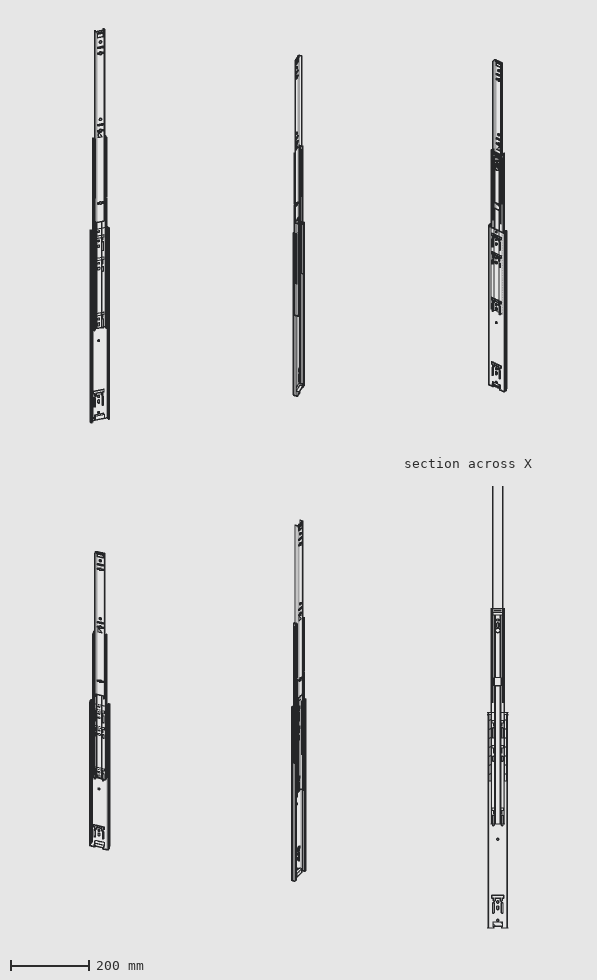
import cadquery as cq

EPS = 1.0

total_length = 1125.0
rail_length = 550.0
middle_top = 815.0
middle_bottom = middle_top - rail_length
inner_bottom = total_length - rail_length
pattern_pitch = 223.0

slide_depth = 12.9
overall_half_width = 51.89 / 2
outer_race_bulge = 0.65
outer_half_width = overall_half_width - outer_race_bulge
outer_thickness = 1.8
outer_corner_radius = 2.8
outer_race = (4.5, 10.5)
outer_lip = 2.0

middle_web_x = 2.0
middle_half_width = 17.5
middle_thickness = 1.5
middle_corner_radius = 1.0
middle_race = (6.0, 9.5)
middle_race_bulge = -0.5

inner_half_width = 13.0
inner_thickness = 1.5
inner_corner_radius = 3.4
inner_depth = 9.3


def box(x_range, y_range, z_range):
    """Axis-aligned block from its lower and upper limits."""
    (x0, x1), (y0, y1), (z0, z1) = x_range, y_range, z_range
    return cq.Workplane("XY").box(x1 - x0, y1 - y0, z1 - z0, centered=False).translate((x0, y0, z0))


def across(half_width):
    """Y limits of a feature centred on the mid-plane."""
    return (-half_width, half_width)


def side_range(side, near, far):
    """Y limits of a strip between two distances from the mid-plane, on the side -1 or +1."""
    return tuple(sorted((side * near, side * far)))


def web_hole(x_range, y, z, width, height):
    """Cutter along X: round when width equals height, otherwise a round-ended slot."""
    x0, x1 = x_range
    plane = cq.Workplane("YZ", origin=(x0, y, z))
    if width == height:
        outline = plane.circle(width / 2)
    elif width > height:
        outline = plane.slot2D(width, height, 0)
    else:
        outline = plane.slot2D(height, width, 90)
    return outline.extrude(x1 - x0)


def channel(half_width, depth, thickness, radius, length, race=None, bulge=0.0):
    """C channel along Z with its web at X = 0 and its flanges pointing to +X."""
    smallest_inner_radius = 0.3
    inner_radius = max(radius - thickness, smallest_inner_radius)
    inside = half_width - thickness
    arc_middle = 1 - 0.5 ** 0.5
    profile = (
        cq.Workplane("XY")
        .lineTo(0, half_width - radius)
        .threePointArc((radius * arc_middle, half_width - radius * arc_middle), (radius, half_width))
    )
    if race:
        start, end = race
        race_middle = (start + end) / 2
        profile = profile.lineTo(start, half_width)
        profile = profile.threePointArc((race_middle, half_width + bulge), (end, half_width))
    profile = profile.lineTo(depth, half_width).lineTo(depth, inside)
    if race:
        profile = profile.lineTo(end, inside)
        profile = profile.threePointArc((race_middle, inside + bulge), (start, inside))
    inner_arc_middle = (thickness + inner_radius * arc_middle, inside - inner_radius * arc_middle)
    profile = (
        profile.lineTo(thickness + inner_radius, inside)
        .threePointArc(inner_arc_middle, (thickness, inside - inner_radius))
        .lineTo(thickness, 0)
        .close()
    )
    half = profile.extrude(length)
    return half.union(half.mirror("XZ")).clean()


outer_web = (-EPS, outer_thickness + EPS)
outer_inside = outer_half_width - outer_thickness
fixing_hole = 5.0
fixing_hole_heights = (542.0, 227.0, 20.5)

mount_top_z = 526.4
second_mount_drop = 64.0
mount_slot_half_width = 15.0
mount_slot_half_height = 3.5
mount_leg_y = 9.0
mount_leg_width = 4.4
mount_slit_y = 11.2
mount_slit_width = 3.6

long_mount = (11.6, 15.0, 42.0)
short_mount = (16.5, 23.5, 37.5)

top_holes = [(11.3, 5.0, 5.0), (26.5, 5.0, 7.0)]
short_holes = [(11.5, 5.0, 5.0), (27.0, 7.5, 7.5)]
long_holes = [(13.5, 5.0, 6.5), (28.5, 5.0, 9.5)]

mounts = [
    (mount_top_z, long_mount, top_holes),
    (mount_top_z - second_mount_drop, short_mount, short_holes),
    (mount_top_z - pattern_pitch, long_mount, long_holes),
    (mount_top_z - 2 * pattern_pitch, long_mount, long_holes),
]

race_hole = 5.4
race_hole_x = 8.1
race_hole_z = 544.0

notch_half_width = 10.0
key_half_width = 12.5
key_z = (4.5, 8.5)
relief_y = 8.5
relief_z = 10.5
relief_diameter = 3.0
tip_relief_x = 10.5
tip_relief_height = 3.5


def mounting_cutter(z, depths, centre_holes):
    """Cutter for one hook-in mounting pattern with its slot centred at height z."""
    leg_end, slit_top, slit_bottom = depths
    leg_z = z - leg_end / 2
    slit_z = z - (slit_top + slit_bottom) / 2
    slit_height = slit_bottom - slit_top
    slot_z = (z - mount_slot_half_height, z + mount_slot_half_height)
    cutter = box(outer_web, across(mount_slot_half_width), slot_z)
    for side in (-1, 1):
        cutter = cutter.union(web_hole(outer_web, side * mount_leg_y, leg_z, mount_leg_width, leg_end))
        cutter = cutter.union(web_hole(outer_web, side * mount_slit_y, slit_z, mount_slit_width, slit_height))
    for drop, width, height in centre_holes:
        cutter = cutter.union(web_hole(outer_web, 0, z - drop, width, height))
    return cutter


def add_outer_lips(rail):
    lip_x = (slide_depth - outer_thickness, slide_depth)
    for side in (-1, 1):
        lip_y = side_range(side, outer_inside - outer_lip, outer_inside + outer_thickness / 2)
        rail = rail.union(box(lip_x, lip_y, (0, rail_length)))
    return rail


def cut_lower_end(rail):
    rail = rail.cut(box(outer_web, across(notch_half_width), (-EPS, key_z[1])))
    rail = rail.cut(box(outer_web, across(key_half_width), key_z))
    for side in (-1, 1):
        rail = rail.cut(web_hole(outer_web, side * relief_y, relief_z, relief_diameter, relief_diameter))
    tip_x = (tip_relief_x, slide_depth + EPS)
    return rail.cut(box(tip_x, across(overall_half_width), (-EPS, tip_relief_height)))


def make_outer_rail():
    rail = channel(outer_half_width, slide_depth, outer_thickness, outer_corner_radius,
                   rail_length, outer_race, outer_race_bulge)
    rail = add_outer_lips(rail)
    for z, depths, centre_holes in mounts:
        rail = rail.cut(mounting_cutter(z, depths, centre_holes))
    for z in fixing_hole_heights:
        rail = rail.cut(web_hole(outer_web, 0, z, fixing_hole, fixing_hole))
    race_drill = (
        cq.Workplane("XZ", origin=(race_hole_x, 0, race_hole_z))
        .circle(race_hole / 2)
        .extrude(overall_half_width + EPS, both=True)
    )
    return cut_lower_end(rail.cut(race_drill))


rib_base = 8.0
rib_crest = 6.3
rib_height = 1.2
rib_top = 798.0
web_top = 804.0
end_step = 0.3
middle_inside = middle_half_width - middle_thickness
middle_web = (middle_web_x - EPS, middle_web_x + middle_thickness + rib_height + EPS)
window_half_width = 8.5
window_z = (618.0, 638.5)
middle_holes = [(785.5, 5.0, 5.0), (772.0, 5.0, 12.0), (759.0, 11.0, 11.0)]
flange_notch_x = 7.5
flange_notch_z = (639.5, 644.5)


def rib_prism(base_x):
    """Trapezoid prism of the lengthwise rib, standing on base_x."""
    outline = [(0, -rib_base), (rib_height, -rib_crest), (rib_height, rib_crest), (0, rib_base)]
    plane = cq.Workplane("XY", origin=(base_x, 0, middle_bottom))
    return plane.polyline(outline).close().extrude(rib_top - middle_bottom)


def make_middle_rail():
    rail = channel(middle_half_width, slide_depth - middle_web_x, middle_thickness,
                   middle_corner_radius, rail_length, middle_race, middle_race_bulge)
    rail = rail.translate((middle_web_x, 0, middle_bottom))
    rail = rail.union(rib_prism(middle_web_x + middle_thickness))
    rail = rail.cut(rib_prism(middle_web_x))
    rail = rail.cut(box(middle_web, across(middle_inside), (web_top, middle_top + EPS)))
    step_x = (middle_web_x - EPS, middle_web_x + end_step)
    rail = rail.cut(box(step_x, across(middle_inside), (rib_top, web_top)))
    rail = rail.cut(box(middle_web, across(window_half_width), window_z))
    for z, width, height in middle_holes:
        rail = rail.cut(web_hole(middle_web, 0, z, width, height))
    notch_x = (flange_notch_x, slide_depth + EPS)
    return rail.cut(box(notch_x, across(middle_half_width + EPS), flange_notch_z))


inner_web_x = slide_depth - inner_thickness
inner_web = (inner_web_x - EPS, slide_depth + EPS)
end_window_half_width = 8.0
end_window_z = (1107.0, 1117.0)
end_lip_z = 1120.0
end_lip_depth = 1.0
screw_hole = 6.5
screw_hole_z = 1093.0
slot_drop = 15.5
cross_drop = 32.5
lowest_cross_z = 629.2
cross_slot = (16.0, 4.0)
cross_upright = (4.5, 9.0)


def make_inner_rail():
    rail = channel(inner_half_width, inner_depth, inner_thickness, inner_corner_radius, rail_length)
    rail = rail.rotate((0, 0, 0), (0, 0, 1), 180).translate((slide_depth, 0, inner_bottom))
    lip_x = (inner_web_x - end_lip_depth, inner_web_x + inner_thickness / 2)
    lip_half_width = inner_half_width - inner_corner_radius
    rail = rail.union(box(lip_x, across(lip_half_width), (end_lip_z, total_length)))
    rail = rail.cut(box(inner_web, across(end_window_half_width), end_window_z))
    screw_heights = [screw_hole_z, screw_hole_z - pattern_pitch]
    for z in screw_heights:
        rail = rail.cut(web_hole(inner_web, 0, z, screw_hole, screw_hole))
        rail = rail.cut(web_hole(inner_web, 0, z - slot_drop, *cross_slot))
    cross_heights = [z - cross_drop for z in screw_heights] + [lowest_cross_z]
    for z in cross_heights:
        rail = rail.cut(web_hole(inner_web, 0, z, *cross_slot))
        rail = rail.cut(web_hole(inner_web, 0, z, *cross_upright))
    return rail


bumper_front_x = 9.0
bumper_top = 16.0
lever_depth = 1.5
lever_z = (818.5, 835.0)
lever_point_y = 5.0
lever_edge_y = -5.5


def make_bumper():
    """Stop block behind the outer web, with a key that fills the undercut of the web."""
    block = box((outer_thickness, bumper_front_x), across(key_half_width), (key_z[0], bumper_top))
    key = box((0, outer_thickness), across(key_half_width), key_z)
    return block.union(key)


def make_lever():
    """Triangular release lever lying on the inside of the inner rail web."""
    bottom, top = lever_z
    return (
        cq.Workplane("YZ", origin=(inner_web_x - lever_depth, 0, 0))
        .polyline([(lever_point_y, bottom), (lever_edge_y, bottom), (lever_edge_y, top)])
        .close()
        .extrude(lever_depth)
    )


cage_clearance = 0.2
cage_length = 170.0
outer_cage_x = (5.0, 9.0)
outer_cage_top = 545.0
inner_cage_x = (3.7, 10.0)
bridge_x = (2.2, 3.4)
recess_depth = 0.6
recess_half_width = 8.5
recess_z = (808.0, 811.5)


def make_outer_cage(side):
    """Strip between the flanges of the outer and middle rails."""
    near = middle_half_width + cage_clearance
    far = outer_inside - cage_clearance
    return box(outer_cage_x, side_range(side, near, far), (outer_cage_top - cage_length, outer_cage_top))


def make_inner_cage():
    """Two strips between the middle and inner flanges, joined by a bridge at the open end."""
    near = inner_half_width + cage_clearance
    far = middle_inside + middle_race_bulge - cage_clearance
    bridge_z = (web_top, middle_top)
    cage = box(bridge_x, across(far), bridge_z)
    recess_x = (bridge_x[0], bridge_x[0] + recess_depth)
    cage = cage.cut(box(recess_x, across(recess_half_width), recess_z))
    for side in (-1, 1):
        strip_y = side_range(side, near, far)
        cage = cage.union(box((bridge_x[0], inner_cage_x[1]), strip_y, bridge_z))
        cage = cage.union(box(inner_cage_x, strip_y, (middle_top - cage_length, middle_top)))
    return cage


outer_rail = make_outer_rail()
middle_rail = make_middle_rail()
inner_rail = make_inner_rail()
bumper = make_bumper()
lever = make_lever()
inner_cage = make_inner_cage()
outer_cages = [make_outer_cage(side) for side in (-1, 1)]

result = cq.Compound.makeCompound([
    outer_rail.val(),
    middle_rail.val(),
    inner_rail.val(),
    bumper.val(),
    lever.val(),
    inner_cage.val(),
    *[cage.val() for cage in outer_cages],
])